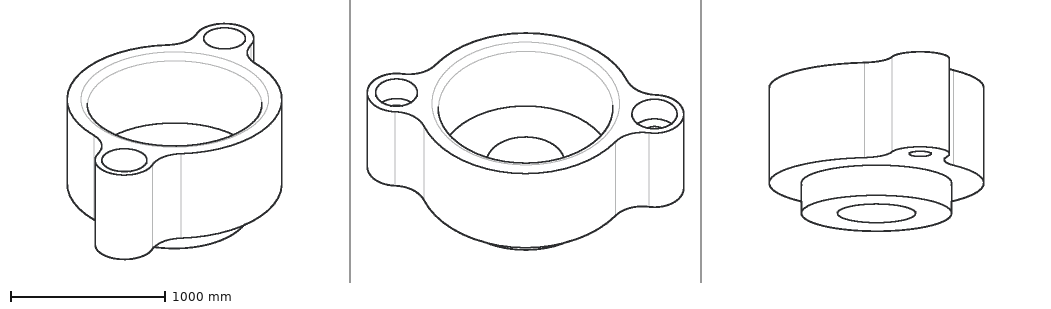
import cadquery as cq
import math

body_radius = 698.0
body_height = 636.0
spigot_radius = 488.0
total_height = 838.0
spigot_height = total_height - body_height

overall_width = 1575.0
lug_radius = 190.0
lug_offset = overall_width / 2 - lug_radius
blend_radius = 210.0

mouth_radius = 610.0
lip_radius = 43.0
throat_radius = mouth_radius - lip_radius
floor_radius = 560.0
pocket_depth = 509.0
wall_bulge = 10.0
shaft_hole_radius = 254.0

bolt_hole_radius = 71.0
left_counterbore_radius = 135.0
right_counterbore_radius = 146.0
counterbore_depth = 169.0


def cylinder(radius, bottom, top, x=0.0, y=0.0):
    """Vertical cylinder between two heights."""
    return cq.Workplane("XY", origin=(x, y, bottom)).circle(radius).extrude(top - bottom)


def lug_web():
    """Web whose concave sides are tangent to the body and both lugs."""
    lug_distance = lug_offset * math.sqrt(2)
    body_reach = body_radius + blend_radius
    lug_reach = lug_radius + blend_radius
    blend_x = (lug_distance**2 + body_reach**2 - lug_reach**2) / (2 * lug_distance)
    blend_y = math.sqrt(body_reach**2 - blend_x**2)

    body_x = blend_x * body_radius / body_reach
    body_y = blend_y * body_radius / body_reach
    lug_x = blend_x + (lug_distance - blend_x) * blend_radius / lug_reach
    lug_y = blend_y * lug_radius / lug_reach

    chord_x = (body_x + lug_x) / 2 - blend_x
    chord_y = (body_y + lug_y) / 2 - blend_y
    chord_distance = math.hypot(chord_x, chord_y)
    middle_x = blend_x + blend_radius * chord_x / chord_distance
    middle_y = blend_y + blend_radius * chord_y / chord_distance

    return (
        cq.Workplane("XY")
        .moveTo(0, 0)
        .lineTo(body_x, body_y)
        .threePointArc((middle_x, middle_y), (lug_x, lug_y))
        .lineTo(lug_distance, 0)
        .lineTo(lug_x, -lug_y)
        .threePointArc((middle_x, -middle_y), (body_x, -body_y))
        .close()
        .extrude(body_height)
        .translate((0, 0, spigot_height))
    )


def bearing_pocket():
    """Revolved pocket with a rounded lip and a bulging wall."""
    floor_z = total_height - pocket_depth
    lip_z = total_height - lip_radius
    lip_middle = lip_radius * math.sqrt(0.5)
    return (
        cq.Workplane("XZ")
        .moveTo(0, floor_z)
        .lineTo(floor_radius, floor_z)
        .threePointArc((throat_radius + wall_bulge, (floor_z + lip_z) / 2), (throat_radius, lip_z))
        .threePointArc((mouth_radius - lip_middle, lip_z + lip_middle), (mouth_radius, total_height))
        .lineTo(0, total_height)
        .close()
        .revolve(360, (0, 0, 0), (0, 1, 0))
    )


result = cylinder(spigot_radius, 0, spigot_height)
result = result.union(cylinder(body_radius, spigot_height, total_height))

for side, web_angle in ((-1, 135), (1, -45)):
    result = result.union(lug_web().rotate((0, 0, 0), (0, 0, 1), web_angle))
    result = result.union(
        cylinder(lug_radius, spigot_height, total_height, side * lug_offset, -side * lug_offset)
    )

result = result.cut(bearing_pocket())
result = result.cut(cylinder(shaft_hole_radius, 0, total_height))

for side, counterbore_radius in ((-1, left_counterbore_radius), (1, right_counterbore_radius)):
    x = side * lug_offset
    y = -side * lug_offset
    result = result.cut(cylinder(bolt_hole_radius, spigot_height, total_height, x, y))
    result = result.cut(
        cylinder(counterbore_radius, total_height - counterbore_depth, total_height, x, y)
    )